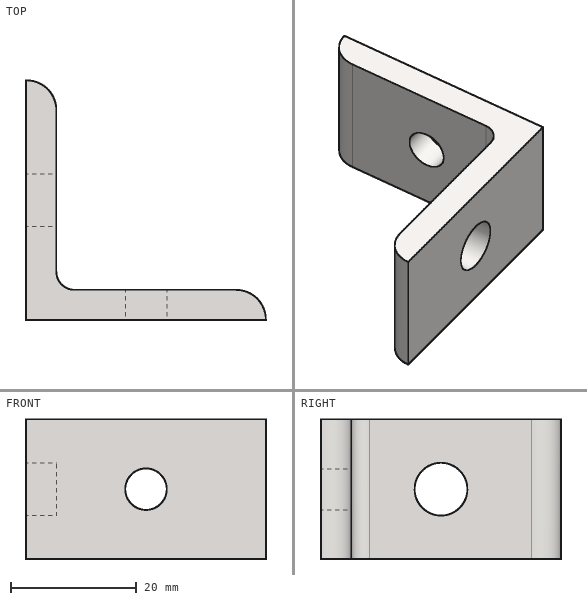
import cadquery as cq

leg_length = 38.1
height = 22.2
thickness = 4.85
toe_radius = 4.75
root_radius = 2.85
front_hole_diameter = 6.55
side_hole_diameter = 8.35

mid_leg = leg_length / 2
mid_height = height / 2


def angle_body():
    """L-shaped bar with its outer corner on the Z axis."""
    x_leg = cq.Workplane("XY").box(leg_length, thickness, height, centered=False)
    y_leg = cq.Workplane("XY").box(thickness, leg_length, height, centered=False)
    body = x_leg.union(y_leg)

    toe_points = [(leg_length, thickness, mid_height), (thickness, leg_length, mid_height)]
    for point in toe_points:
        body = body.edges(cq.selectors.NearestToPointSelector(point)).fillet(toe_radius)
    root_point = (thickness, thickness, mid_height)
    return body.edges(cq.selectors.NearestToPointSelector(root_point)).fillet(root_radius)


def leg_hole(diameter, start, direction):
    """Cylinder that cuts through one leg, starting at its outer face."""
    hole_depth = 2 * thickness
    return cq.Solid.makeCylinder(diameter / 2, hole_depth, cq.Vector(*start), cq.Vector(*direction))


front_hole = leg_hole(front_hole_diameter, (mid_leg, 0, mid_height), (0, 1, 0))
side_hole = leg_hole(side_hole_diameter, (0, mid_leg, mid_height), (1, 0, 0))

result = angle_body().cut(front_hole).cut(side_hole)